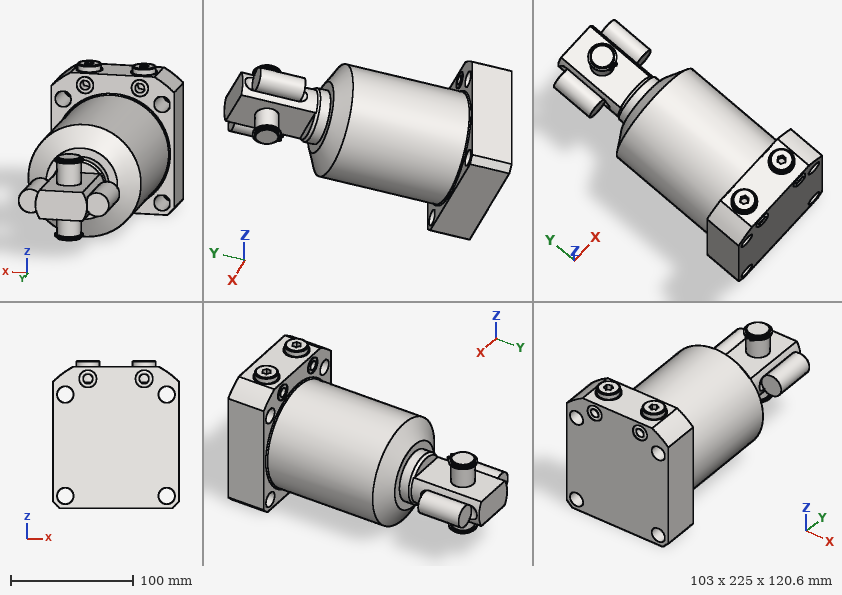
import cadquery as cq
import math


FLANGE_HALF_WIDTH = 51.5
FLANGE_TOP_Z = 64.1
FLANGE_THICKNESS = 34.5
FLANGE_ARC_RADIUS = 73.1
FLANGE_BOTTOM_CHAMFER = 5.6
BOLT_OFFSET = 41.5
BOLT_HOLE_DIAMETER = 13.3

PORT_OFFSET_X = 23.0
PASSAGE_Z = 54.2
PASSAGE_DIAMETER = 7.9
SEAL_SECTION_RADIUS = 1.5
SEAL_PROTRUSION = 1.46
PASSAGE_BOSS_DIAMETER = 14.0
PASSAGE_BOSS_HEIGHT = 0.7

PLUG_Y = 19.1
PLUG_HEAD_DIAMETER = 19.1
PLUG_HEAD_HEIGHT = 5.0
PLUG_TOP_Z = FLANGE_TOP_Z + PLUG_HEAD_HEIGHT
PLUG_HEAD_CHAMFER = 1.0
PLUG_SHANK_DIAMETER = 13.5
PLUG_SHANK_DEPTH = 12.8
PLUG_SOCKET_FLATS = 6.5
PLUG_DRILL_DIAMETER = 6.3
PLUG_SOCKET_DEPTH = 5.6
DRILL_POINT_ANGLE = 118
SPOTFACE_DIAMETER = 21.5
SPOTFACE_DEPTH = 0.5

BARREL_RADIUS = 47.2
BARREL_FLARE = 1.1
BARREL_CONE_START_Y = 137.0
BARREL_END_Y = 147.4
BARREL_END_RADIUS = 30.0

COLLAR_RADIUS = 22.7
COLLAR_END_Y = 158.8
COLLAR_CHAMFER_LENGTH = 2.7
COLLAR_CHAMFER_DEPTH = 1.5
ROD_END_RADIUS = 21.5
ROD_END_THICKNESS = 24.0
ROD_TIP_Y = 225 - SEAL_PROTRUSION

PIN_Y = 194.5
ROLLER_RADIUS = 10.0
ROLLER_LENGTH = 39.2
ROLLER_OFFSET_X = 28.0
PIN_RADIUS = 10.0
PIN_LENGTH = 68.5
PIN_CHAMFER = 0.7

CLIP_OFFSET_Z = 31.5
CLIP_THICKNESS = 1.0
CLIP_OUTER_RADIUS = 11.7
CLIP_GROOVE_DEPTH = 0.7
CLIP_LUG_RADIUS = 1.8
CLIP_LUG_X = 2.5
CLIP_LUG_REACH = 11.5
CLIP_LUG_HOLE_RADIUS = 1.0
CLIP_GAP = 1.1

SIDES = (-1, 1)


def y_cylinder(radius, start_y, length, x=0, z=0):
    """Cylinder parallel to Y, from start_y toward +Y."""
    base = cq.Vector(x, start_y, z)
    return cq.Workplane(cq.Solid.makeCylinder(radius, length, base, cq.Vector(0, 1, 0)))


def z_cylinder(radius, start_z, height, x=0, y=0):
    """Cylinder parallel to Z, from start_z toward +Z."""
    return cq.Workplane(cq.Solid.makeCylinder(radius, height, cq.Vector(x, y, start_z)))


def revolve_about_y(profile):
    """Solid of revolution from (radius, y) points."""
    return cq.Workplane("XY").polyline(profile).close().revolve(360, (0, 0, 0), (0, 1, 0))


def make_flange():
    corner_z = math.sqrt(FLANGE_ARC_RADIUS**2 - FLANGE_HALF_WIDTH**2)
    top_half_width = math.sqrt(FLANGE_ARC_RADIUS**2 - FLANGE_TOP_Z**2)
    mid_angle = (math.atan2(corner_z, FLANGE_HALF_WIDTH) + math.atan2(FLANGE_TOP_Z, top_half_width)) / 2
    arc_mid_x = FLANGE_ARC_RADIUS * math.cos(mid_angle)
    arc_mid_z = FLANGE_ARC_RADIUS * math.sin(mid_angle)
    bottom_z = -FLANGE_HALF_WIDTH
    bottom_half_width = FLANGE_HALF_WIDTH - FLANGE_BOTTOM_CHAMFER

    flange = (
        cq.Workplane("XZ")
        .moveTo(-bottom_half_width, bottom_z)
        .lineTo(bottom_half_width, bottom_z)
        .lineTo(FLANGE_HALF_WIDTH, bottom_z + FLANGE_BOTTOM_CHAMFER)
        .lineTo(FLANGE_HALF_WIDTH, corner_z)
        .threePointArc((arc_mid_x, arc_mid_z), (top_half_width, FLANGE_TOP_Z))
        .lineTo(-top_half_width, FLANGE_TOP_Z)
        .threePointArc((-arc_mid_x, arc_mid_z), (-FLANGE_HALF_WIDTH, corner_z))
        .lineTo(-FLANGE_HALF_WIDTH, bottom_z + FLANGE_BOTTOM_CHAMFER)
        .close()
        .extrude(-FLANGE_THICKNESS)
    )
    for side_x in SIDES:
        for side_z in SIDES:
            hole_x = side_x * BOLT_OFFSET
            hole_z = side_z * BOLT_OFFSET
            flange = flange.cut(y_cylinder(BOLT_HOLE_DIAMETER / 2, 0, FLANGE_THICKNESS, hole_x, hole_z))
    return flange


def make_barrel():
    return revolve_about_y([
        (0, 0),
        (BARREL_RADIUS, 0),
        (BARREL_RADIUS + BARREL_FLARE, FLANGE_THICKNESS),
        (BARREL_RADIUS, FLANGE_THICKNESS + BARREL_FLARE),
        (BARREL_RADIUS, BARREL_CONE_START_Y),
        (BARREL_END_RADIUS, BARREL_END_Y),
        (0, BARREL_END_Y),
    ])


def make_seal(x):
    """Ring seal around a passage mouth, standing out of the mounting face."""
    ring_radius = PASSAGE_DIAMETER / 2 + SEAL_SECTION_RADIUS
    centre_y = SEAL_SECTION_RADIUS - SEAL_PROTRUSION
    centre = cq.Vector(x, centre_y, PASSAGE_Z)
    torus = cq.Solid.makeTorus(ring_radius, SEAL_SECTION_RADIUS, centre, cq.Vector(0, 1, 0))
    return cq.Workplane(torus)


def make_plug(x):
    shank_end_z = FLANGE_TOP_Z - PLUG_SHANK_DEPTH
    head_bottom_z = FLANGE_TOP_Z - SPOTFACE_DEPTH
    head = z_cylinder(PLUG_HEAD_DIAMETER / 2, head_bottom_z, PLUG_TOP_Z - head_bottom_z, x, PLUG_Y)
    head = head.faces(">Z").chamfer(PLUG_HEAD_CHAMFER)
    shank = z_cylinder(PLUG_SHANK_DIAMETER / 2, shank_end_z, PLUG_SHANK_DEPTH, x, PLUG_Y)
    return head.union(shank)


def make_plug_socket(x):
    """Hexagonal key socket ending in a drill point, as a solid to cut away."""
    drill_radius = PLUG_DRILL_DIAMETER / 2
    drill_point_height = drill_radius / math.tan(math.radians(DRILL_POINT_ANGLE / 2))
    bottom_centre = cq.Vector(x, PLUG_Y, PLUG_TOP_Z - PLUG_SOCKET_DEPTH)
    hexagon = (
        cq.Workplane("XY", origin=bottom_centre.toTuple())
        .polygon(6, PLUG_SOCKET_FLATS, circumscribed=True)
        .extrude(PLUG_SOCKET_DEPTH)
    )
    drill_point = cq.Solid.makeCone(drill_radius, 0, drill_point_height, bottom_centre, cq.Vector(0, 0, -1))
    return hexagon.union(cq.Workplane(drill_point))


def make_housing():
    housing = make_flange().union(make_barrel())
    passage_length = FLANGE_THICKNESS + PASSAGE_BOSS_HEIGHT
    for side in SIDES:
        x = side * PORT_OFFSET_X
        boss = y_cylinder(PASSAGE_BOSS_DIAMETER / 2, FLANGE_THICKNESS, PASSAGE_BOSS_HEIGHT, x, PASSAGE_Z)
        passage = y_cylinder(PASSAGE_DIAMETER / 2, 0, passage_length, x, PASSAGE_Z)
        spotface = z_cylinder(SPOTFACE_DIAMETER / 2, FLANGE_TOP_Z - SPOTFACE_DEPTH, SPOTFACE_DEPTH, x, PLUG_Y)
        housing = housing.union(boss).cut(passage).cut(spotface)
        housing = housing.union(make_seal(x)).union(make_plug(x)).cut(make_plug_socket(x))
    return housing


def make_roller_groove(x):
    """Ball-nosed groove that a roller lies in."""
    start_y = PIN_Y - ROLLER_LENGTH / 2
    groove = y_cylinder(ROLLER_RADIUS, start_y, ROLLER_LENGTH, x)
    for end_y in (start_y, start_y + ROLLER_LENGTH):
        groove = groove.union(cq.Workplane("XY").sphere(ROLLER_RADIUS).translate((x, end_y, 0)))
    return groove


def make_rod():
    collar = revolve_about_y([
        (0, BARREL_END_Y),
        (COLLAR_RADIUS, BARREL_END_Y),
        (COLLAR_RADIUS, COLLAR_END_Y - COLLAR_CHAMFER_LENGTH),
        (COLLAR_RADIUS - COLLAR_CHAMFER_DEPTH, COLLAR_END_Y),
        (0, COLLAR_END_Y),
    ])
    rod_length = ROD_TIP_Y - BARREL_END_Y
    flats = cq.Workplane("XY").box(2 * ROD_END_RADIUS, rod_length, ROD_END_THICKNESS)
    flats = flats.translate((0, BARREL_END_Y + rod_length / 2, 0))
    rod_end = y_cylinder(ROD_END_RADIUS, BARREL_END_Y, rod_length).intersect(flats)

    rod = collar.union(rod_end)
    rod = rod.cut(z_cylinder(PIN_RADIUS, -ROD_END_THICKNESS / 2, ROD_END_THICKNESS, y=PIN_Y))
    for side in SIDES:
        rod = rod.cut(make_roller_groove(side * ROLLER_OFFSET_X))
    return rod


def make_roller(x):
    return y_cylinder(ROLLER_RADIUS, PIN_Y - ROLLER_LENGTH / 2, ROLLER_LENGTH, x)


def clip_ring_blank(side, outer_radius):
    """Plain ring filling a pin groove out to outer_radius."""
    bottom_z = side * CLIP_OFFSET_Z - CLIP_THICKNESS / 2
    ring = z_cylinder(outer_radius, bottom_z, CLIP_THICKNESS, y=PIN_Y)
    return ring.cut(z_cylinder(PIN_RADIUS - CLIP_GROOVE_DEPTH, bottom_z, CLIP_THICKNESS, y=PIN_Y))


def make_pin():
    pin = z_cylinder(PIN_RADIUS, -PIN_LENGTH / 2, PIN_LENGTH, y=PIN_Y)
    pin = pin.faces("<Z or >Z").chamfer(PIN_CHAMFER)
    for side in SIDES:
        pin = pin.cut(clip_ring_blank(side, PIN_RADIUS))
    return pin


def make_clip(side):
    """Retaining clip with two drilled lugs beside its gap, on the -Y side of the pin."""
    bottom_z = side * CLIP_OFFSET_Z - CLIP_THICKNESS / 2
    lug_y = PIN_Y - CLIP_LUG_REACH
    clip = clip_ring_blank(side, CLIP_OUTER_RADIUS)
    for lug_side in SIDES:
        lug_x = lug_side * CLIP_LUG_X
        clip = clip.union(z_cylinder(CLIP_LUG_RADIUS, bottom_z, CLIP_THICKNESS, lug_x, lug_y))
        clip = clip.cut(z_cylinder(CLIP_LUG_HOLE_RADIUS, bottom_z, CLIP_THICKNESS, lug_x, lug_y))
    gap = cq.Workplane("XY").box(CLIP_GAP, CLIP_LUG_REACH + CLIP_LUG_RADIUS, CLIP_THICKNESS)
    gap = gap.translate((0, PIN_Y - (CLIP_LUG_REACH + CLIP_LUG_RADIUS) / 2, side * CLIP_OFFSET_Z))
    return clip.cut(gap)


housing = make_housing().solids()
rod = make_rod().solids()
pin = make_pin().solids()
rollers = [make_roller(side * ROLLER_OFFSET_X) for side in SIDES]
clips = [make_clip(side).solids() for side in SIDES]

result = cq.Compound.makeCompound([
    housing.val(),
    rod.val(),
    pin.val(),
    *[roller.val() for roller in rollers],
    *[clip.val() for clip in clips],
])